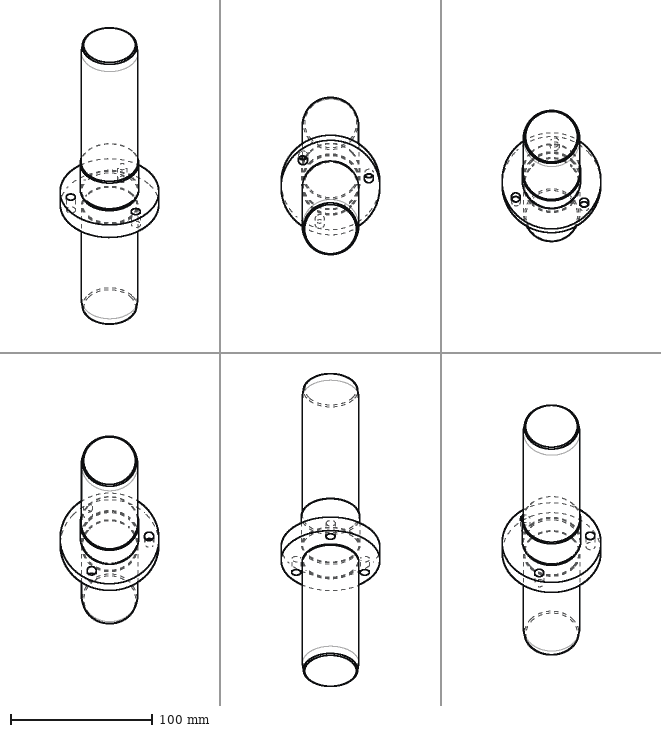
import cadquery as cq

length = 250.0
pillar_radius = 20.0

lead_in_length = 7.0
lead_in_radius = 19.2
edge_chamfer = 1.0

flange_radius = 35.0
flange_bottom = 98.0
flange_thickness = 12.0
flange_top = flange_bottom + flange_thickness

relief_width = 1.0
relief_radius = 19.2

shoulder_radius = 20.8
shoulder_bottom = 112.0
shoulder_top = 138.0
shoulder_chamfer = 1.0
neck_radius = 20.0

hole_count = 3
hole_diameter = 6.5
hole_circle_radius = 28.0


def make_pillar():
    """Revolve the stepped half profile, listed as (radius, height)."""
    end_radius = lead_in_radius - edge_chamfer
    profile = [
        (0, 0),
        (end_radius, 0),
        (lead_in_radius, edge_chamfer),
        (pillar_radius, lead_in_length),
        (pillar_radius, flange_bottom - relief_width),
        (relief_radius, flange_bottom - relief_width),
        (relief_radius, flange_bottom),
        (flange_radius, flange_bottom),
        (flange_radius, flange_top),
        (neck_radius, flange_top),
        (neck_radius, shoulder_bottom),
        (shoulder_radius, shoulder_bottom),
        (shoulder_radius, shoulder_top - shoulder_chamfer),
        (pillar_radius, shoulder_top),
        (pillar_radius, length - lead_in_length),
        (lead_in_radius, length - edge_chamfer),
        (end_radius, length),
        (0, length),
    ]
    return cq.Workplane("XZ").polyline(profile).close().revolve(360, (0, 0), (0, 1))


def make_mounting_holes():
    """Cylinders through the flange, the first one on the +X axis."""
    return (
        cq.Workplane("XY")
        .workplane(offset=flange_bottom)
        .polarArray(hole_circle_radius, 0, 360, hole_count)
        .circle(hole_diameter / 2)
        .extrude(flange_thickness)
    )


result = make_pillar().cut(make_mounting_holes())